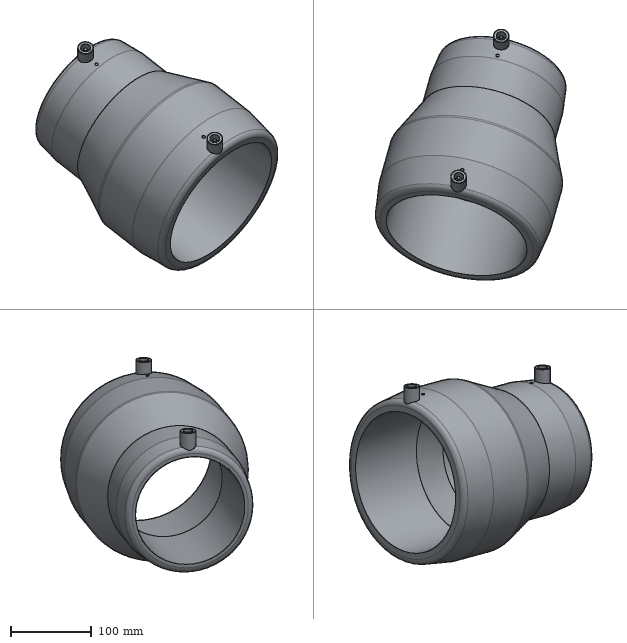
import cadquery as cq
import math


TOTAL_LENGTH = 246.0
NARROW_OUTER_DIA = 171.0
WIDE_OUTER_DIA = 221.0
NARROW_BORE_DIA = 140.0
WIDE_BORE_DIA = 180.0

NARROW_TAPER_END = 35.5
CONE_START = 80.5
CONE_END = 141.6
WIDE_TAPER_START = 200.5

NARROW_TAPER_ANGLE = 7.0
WIDE_TAPER_ANGLE = 7.5
END_ROUND_RADIUS = 7.5
SHOULDER_ROUND_RADIUS = 7.0

BORE_CONE_START = 115.0
BORE_CONE_END = CONE_END

POST_DIA = 19.5
POST_SOCKET_DIA = 12.0
POST_SOCKET_DEPTH = 12.0
PIN_DIA = 4.0
PIN_RECESS = 3.0
POST_EDGE_CHAMFER = 0.5
POST_INSET = 10.8
NARROW_POST_X = POST_INSET
NARROW_POST_TOP = 101.0
WIDE_POST_X = TOTAL_LENGTH - POST_INSET
WIDE_POST_TOP = 123.0

INDICATOR_DIA = 4.0
INDICATOR_DEPTH = 0.5
NARROW_INDICATOR_X = 30.0
WIDE_INDICATOR_X = TOTAL_LENGTH - NARROW_INDICATOR_X

STOP_DIA = 3.0
STOP_HEIGHT = 1.5
STOP_X = 105.0
STOP_ROOT = 3.0

NARROW_OUTER_R = NARROW_OUTER_DIA / 2
WIDE_OUTER_R = WIDE_OUTER_DIA / 2
NARROW_BORE_R = NARROW_BORE_DIA / 2
WIDE_BORE_R = WIDE_BORE_DIA / 2
NARROW_TAPER_SLOPE = math.tan(math.radians(NARROW_TAPER_ANGLE))
WIDE_TAPER_SLOPE = math.tan(math.radians(WIDE_TAPER_ANGLE))
NARROW_END_R = NARROW_OUTER_R - NARROW_TAPER_END * NARROW_TAPER_SLOPE
WIDE_END_R = WIDE_OUTER_R - (TOTAL_LENGTH - WIDE_TAPER_START) * WIDE_TAPER_SLOPE


def revolve_about_x(points):
    """Revolve a closed (x, radius) outline about the X axis."""
    return cq.Workplane("XY").polyline(points).close().revolve(360, (0, 0, 0), (1, 0, 0))


def circle_edges_at(solid, x, radius):
    """Select the circular edge of the given outer radius in the plane at x."""
    margin = 0.1
    return solid.edges(
        cq.selectors.BoxSelector(
            (x - margin, -radius - margin, -radius - margin),
            (x + margin, radius + margin, radius + margin),
            boundingbox=True,
        )
    ).edges(cq.selectors.RadiusNthSelector(-1))


def make_outer_body():
    body = revolve_about_x([
        (0, 0),
        (0, NARROW_END_R),
        (NARROW_TAPER_END, NARROW_OUTER_R),
        (CONE_START, NARROW_OUTER_R),
        (CONE_END, WIDE_OUTER_R),
        (WIDE_TAPER_START, WIDE_OUTER_R),
        (TOTAL_LENGTH, WIDE_END_R),
        (TOTAL_LENGTH, 0),
    ])
    body = circle_edges_at(body, 0, NARROW_END_R).fillet(END_ROUND_RADIUS)
    body = circle_edges_at(body, TOTAL_LENGTH, WIDE_END_R).fillet(END_ROUND_RADIUS)
    return circle_edges_at(body, CONE_END, WIDE_OUTER_R).fillet(SHOULDER_ROUND_RADIUS)


def make_bore():
    return revolve_about_x([
        (0, 0),
        (0, NARROW_BORE_R),
        (BORE_CONE_START, NARROW_BORE_R),
        (BORE_CONE_END, WIDE_BORE_R),
        (TOTAL_LENGTH, WIDE_BORE_R),
        (TOTAL_LENGTH, 0),
    ])


def vertical_cylinder(x, bottom, top, diameter):
    return (
        cq.Workplane("XY", origin=(x, 0, bottom))
        .circle(diameter / 2)
        .extrude(top - bottom)
    )


def add_terminal(body, x, top):
    """Add a post rising from the axis; the bore later removes its lower part."""
    post = vertical_cylinder(x, 0, top, POST_DIA).faces(">Z").edges().chamfer(POST_EDGE_CHAMFER)
    socket_floor = top - POST_SOCKET_DEPTH
    socket = vertical_cylinder(x, socket_floor, top, POST_SOCKET_DIA)
    pin = vertical_cylinder(x, socket_floor, top - PIN_RECESS, PIN_DIA)
    return body.union(post).cut(socket.cut(pin))


def cut_indicator(body, x, surface_r):
    hole = vertical_cylinder(x, surface_r - INDICATOR_DEPTH, surface_r + INDICATOR_DEPTH, INDICATOR_DIA)
    return body.cut(hole)


def make_stop_pin():
    return (
        cq.Workplane("XZ", origin=(STOP_X, NARROW_BORE_R + STOP_ROOT, 0))
        .circle(STOP_DIA / 2)
        .extrude(STOP_HEIGHT + STOP_ROOT)
    )


narrow_indicator_r = NARROW_END_R + NARROW_INDICATOR_X * NARROW_TAPER_SLOPE
wide_indicator_r = WIDE_END_R + (TOTAL_LENGTH - WIDE_INDICATOR_X) * WIDE_TAPER_SLOPE

reducer = make_outer_body()
reducer = add_terminal(reducer, NARROW_POST_X, NARROW_POST_TOP)
reducer = add_terminal(reducer, WIDE_POST_X, WIDE_POST_TOP)
reducer = cut_indicator(reducer, NARROW_INDICATOR_X, narrow_indicator_r)
reducer = cut_indicator(reducer, WIDE_INDICATOR_X, wide_indicator_r)
reducer = reducer.cut(make_bore())

result = reducer.union(make_stop_pin())